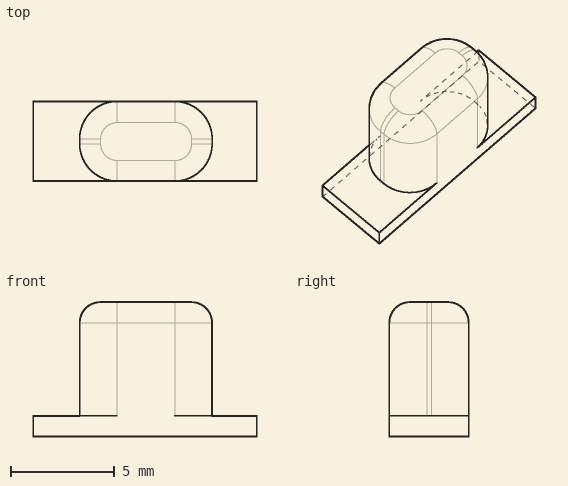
import cadquery as cq

base_length = 10.8
width = 3.85
base_height = 1.0

total_height = 6.5
post_length = 6.4
post_offset = 0.04
corner_radius = 1.8
top_fillet = 1.0

base = cq.Workplane("XY").box(base_length, width, base_height, centered=(True, True, False))

post = (
    cq.Workplane("XY")
    .center(post_offset, 0)
    .rect(post_length, width)
    .extrude(total_height)
    .edges("|Z")
    .fillet(corner_radius)
    .faces(">Z")
    .edges()
    .fillet(top_fillet)
)

result = base.union(post)